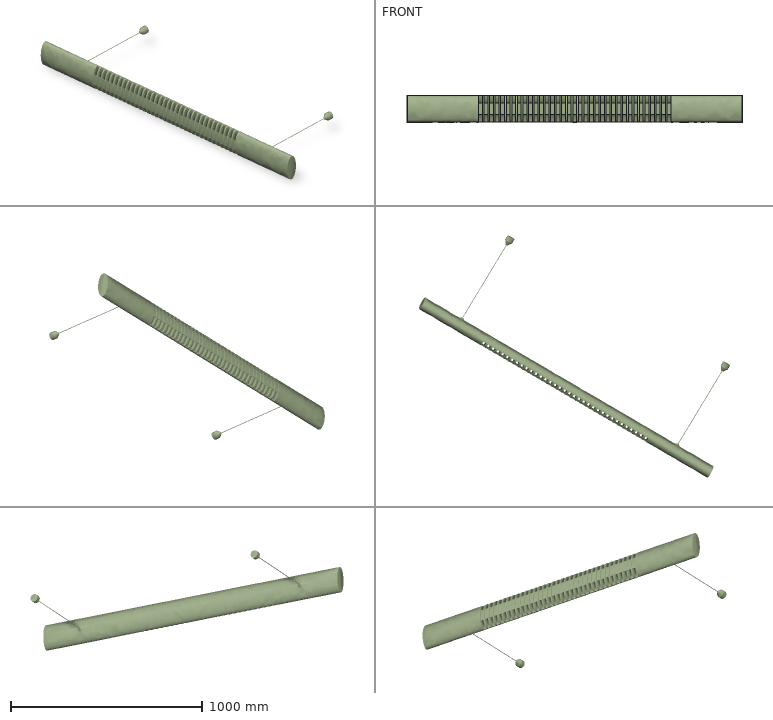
import cadquery as cq

body_length = 1755.0
body_depth = 67.0
body_height = 140.0
front_y = -body_depth / 2
back_y = body_depth / 2

end_length = 374.0
fin_count = 34
fin_thickness = 9.0
slot_floor_y = -2.0
louver_length = body_length - 2 * end_length
slot_count = fin_count + 1
slot_width = (louver_length - fin_count * fin_thickness) / slot_count
slot_pitch = slot_width + fin_thickness

strip_height = 60.0
strip_thickness = 2.0
strip_recess = 4.0

overall_depth = 572.0
cable_offset = 656.0
cable_radius = 2.0
ceiling_y = front_y + overall_depth
canopy_radius = 21.0
canopy_cap_length = 10.0
canopy_groove_width = 2.0
canopy_groove_depth = 0.9
canopy_straight_length = 25.0
canopy_length = 47.0
canopy_tip_radius = 5.0
mount_length = 10.0
mount_base_radius = 21.0
mount_embed = 5.0


def make_body():
    """Solid elliptical bar."""
    return (
        cq.Workplane("YZ")
        .ellipse(body_depth / 2, body_height / 2)
        .extrude(body_length / 2, both=True)
    )


def make_slots():
    """Blocks that open the front half between neighbouring fins."""
    slot_depth = slot_floor_y - front_y
    first_slot_x = -louver_length / 2 + slot_width / 2
    centres = [
        (first_slot_x + index * slot_pitch, slot_floor_y - slot_depth / 2)
        for index in range(slot_count)
    ]
    return (
        cq.Workplane("XY")
        .pushPoints(centres)
        .rect(slot_width, slot_depth)
        .extrude(body_height / 2, both=True)
    )


def make_strip():
    """Flat strip across the fins, set slightly behind their tips."""
    strip_y = front_y + strip_recess + strip_thickness / 2
    return (
        cq.Workplane("XY")
        .box(louver_length, strip_thickness, strip_height)
        .translate((0, strip_y, 0))
    )


def make_suspension(x):
    """Mount, cable and canopy, turned about the cable axis."""
    groove_start_y = ceiling_y - canopy_cap_length
    groove_end_y = groove_start_y - canopy_groove_width
    groove_radius = canopy_radius - canopy_groove_depth
    shoulder_y = ceiling_y - canopy_straight_length
    tip_y = ceiling_y - canopy_length
    profile = (
        cq.Workplane("XY")
        .moveTo(0, ceiling_y)
        .lineTo(canopy_radius, ceiling_y)
        .lineTo(canopy_radius, groove_start_y)
        .lineTo(groove_radius, groove_start_y)
        .lineTo(groove_radius, groove_end_y)
        .lineTo(canopy_radius, groove_end_y)
        .lineTo(canopy_radius, shoulder_y)
        .lineTo(canopy_tip_radius, tip_y)
        .lineTo(cable_radius, tip_y)
        .lineTo(cable_radius, back_y + mount_length)
        .lineTo(mount_base_radius, back_y - mount_embed)
        .lineTo(0, back_y - mount_embed)
        .close()
    )
    turned = profile.revolve(360, (0, 0, 0), (0, 1, 0))
    return turned.translate((x, 0, 0))


result = make_body().cut(make_slots()).union(make_strip())
for side in (-1, 1):
    result = result.union(make_suspension(side * cable_offset))